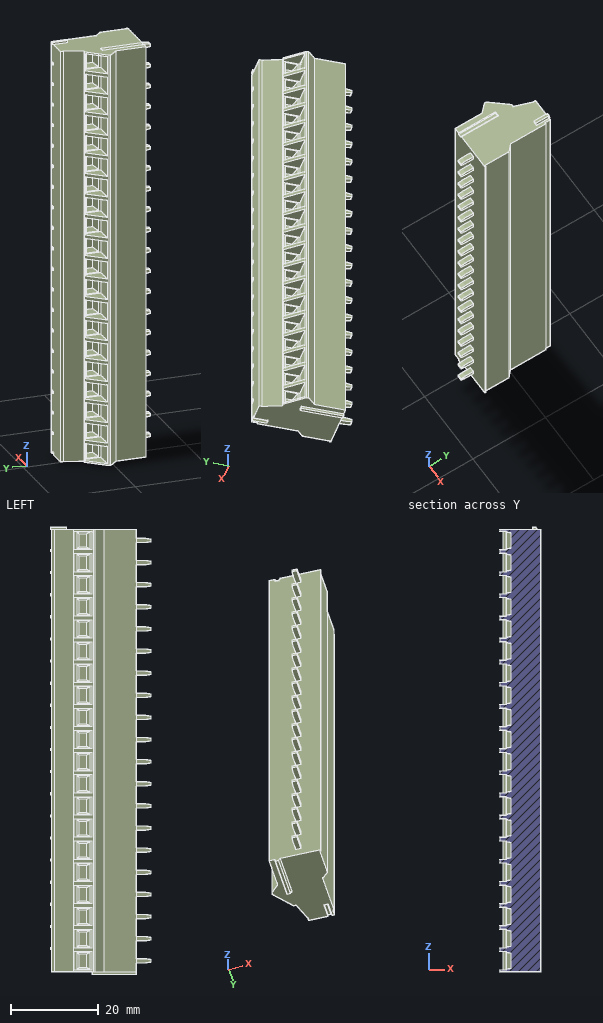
import cadquery as cq

pole_count = 20
body_height = 101.6
pitch = body_height / pole_count

width = 14.3
flange_overhang = 0.3
flange_depth = 0.3
body_right = width - flange_overhang
body_left = 2.0
body_depth = 19.5
tip_low_y = 9.5
tip_high_y = 9.9
tip_bevel_x = 0.2
tip_bevel_y = 9.1
undercut_y = 7.4
ramp_top_x = 3.8
ramp_top_y = 14.4
shoulder_x = 4.4
head_left = 6.0
head_right = 12.1
head_left_step_y = 18.8
head_right_step_y = 18.1
waist_right = 12.4
waist_y = 8.3
foot_y = 6.9

pin_x = 8.9
pin_width = 1.2
pin_thickness = 1.0
pin_length = 3.4
pin_buried = 1.0
pin_tip_length = 1.2
pin_tip_inset = 0.2

entry_height = 4.2
entry_front_y = 10.2
entry_back_y = 14.3
entry_floor_x = 4.5
funnel_height = 3.8
funnel_front_y = 10.7
funnel_back_y = 13.7
funnel_floor_height = 3.1
funnel_floor_front_y = 11.4
funnel_floor_back_y = 13.2
funnel_floor_x = 6.7

front_rib_left = 3.4
front_rib_root_width = 1.2
front_rib_tip_width = 0.8
front_rib_height = 0.6
front_rib_length = 10.2
rear_rib_left = 10.6
rear_rib_root_width = 1.0
rear_rib_tip_width = 0.7
rear_rib_height = 0.5
rear_rib_length = 3.5
rear_rib_overhang = 0.2


def block(x_range, y_range, z_range):
    """Axis-aligned box between the given limits."""
    size = [high - low for low, high in (x_range, y_range, z_range)]
    corner = (x_range[0], y_range[0], z_range[0])
    return cq.Workplane("XY").box(*size, centered=False).translate(corner)


def housing():
    """Constant cross-section extruded along the row of poles."""
    outline = [
        (body_left, 0),
        (width, 0),
        (width, flange_depth),
        (body_right, flange_depth),
        (body_right, foot_y),
        (waist_right, waist_y),
        (waist_right, head_right_step_y),
        (head_right, head_right_step_y),
        (head_right, body_depth),
        (head_left, body_depth),
        (head_left, head_left_step_y),
        (shoulder_x, ramp_top_y),
        (ramp_top_x, ramp_top_y),
        (0, tip_high_y),
        (0, tip_low_y),
        (tip_bevel_x, tip_bevel_y),
        (body_left, undercut_y),
    ]
    return cq.Workplane("XY").polyline(outline).close().extrude(body_height)


def pin(z):
    """Flat pin whose tip narrows in thickness."""
    half = pin_thickness / 2
    half_tip = half - pin_tip_inset
    profile = [
        (pin_buried, half),
        (pin_tip_length - pin_length, half),
        (-pin_length, half_tip),
        (-pin_length, -half_tip),
        (pin_tip_length - pin_length, -half),
        (pin_buried, -half),
    ]
    plane = cq.Workplane("YZ", origin=(pin_x, 0, z))
    return plane.polyline(profile).close().extrude(pin_width / 2, both=True)


def wire_entry(z):
    """Rectangular opening in the ramp with a tapered funnel in its floor."""
    entry = block(
        (0, entry_floor_x),
        (entry_front_y, entry_back_y),
        (z - entry_height / 2, z + entry_height / 2),
    )
    mouth_y = (funnel_front_y + funnel_back_y) / 2
    floor_y = (funnel_floor_front_y + funnel_floor_back_y) / 2
    funnel = (
        cq.Workplane("YZ", origin=(entry_floor_x, 0, z))
        .center(mouth_y, 0)
        .rect(funnel_back_y - funnel_front_y, funnel_height)
        .workplane(offset=funnel_floor_x - entry_floor_x)
        .center(floor_y - mouth_y, 0)
        .rect(funnel_floor_back_y - funnel_floor_front_y, funnel_floor_height)
        .loft(ruled=True)
    )
    return entry.union(funnel)


def rib(left, root_width, tip_width, height, y_range, z):
    """Rib along Y with a square left side; a negative height points it downward from z."""
    section = [
        (left, z),
        (left + root_width, z),
        (left + tip_width, z + height),
        (left, z + height),
    ]
    start, end = y_range
    return cq.Workplane("XZ", origin=(0, start, 0)).polyline(section).close().extrude(start - end)


def front_rib(z):
    """Rib hanging below height z, starting at the front face."""
    y_range = (0, front_rib_length)
    return rib(front_rib_left, front_rib_root_width, front_rib_tip_width, -front_rib_height, y_range, z)


def rear_rib(z):
    """Rib standing on height z that passes slightly beyond the back face."""
    y_range = (body_depth - rear_rib_length, body_depth + rear_rib_overhang)
    return rib(rear_rib_left, rear_rib_root_width, rear_rib_tip_width, rear_rib_height, y_range, z)


result = housing()

for index in range(pole_count):
    pole_z = (index + 0.5) * pitch
    result = result.cut(wire_entry(pole_z)).union(pin(pole_z))

result = result.cut(front_rib(body_height)).cut(rear_rib(0))
result = result.union(front_rib(0))

for index in range(pole_count):
    result = result.union(rear_rib((index + 1) * pitch))